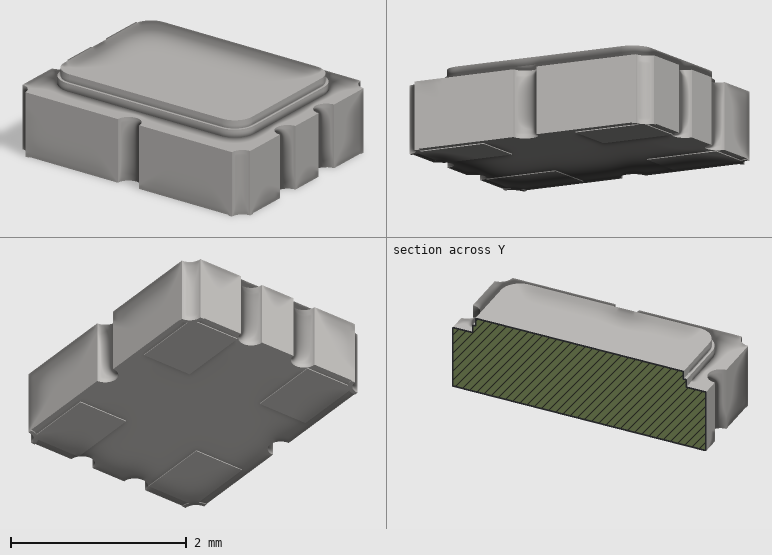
import cadquery as cq

LENGTH = 3.2
WIDTH = 2.5
HEIGHT = 1.0
PAD_THICKNESS = 0.01
BODY_TOP = 0.8

NOTCH_RADIUS = 0.15
SIDE_NOTCH_Y = 0.375

RING_LENGTH = 2.7
RING_WIDTH = 1.9
RING_CORNER_RADIUS = 0.275
RING_TOP = 0.9
COVER_INSET = 0.035

PAD_EDGE_INSET = 0.1
PAD_INNER_X = 0.6
PAD_INNER_Y = 0.5
PAD_COLLAR_RADIUS = 0.2

HALF_LENGTH = LENGTH / 2
HALF_WIDTH = WIDTH / 2
SIGNS = (-1, 1)


def mirrored_points(x, y):
    """The point (x, y) and its mirror images in all four quadrants."""
    return [(sx * x, sy * y) for sx in SIGNS for sy in SIGNS]


CORNERS = mirrored_points(HALF_LENGTH, HALF_WIDTH)


def make_body():
    """Rectangular block between the pads and the lid."""
    return (
        cq.Workplane("XY", origin=(0, 0, PAD_THICKNESS))
        .rect(LENGTH, WIDTH)
        .extrude(BODY_TOP - PAD_THICKNESS)
    )


def make_lid_layer(inset, bottom, top):
    """Rounded plate, set in evenly from the seal ring outline."""
    return (
        cq.Workplane("XY", origin=(0, 0, bottom))
        .rect(RING_LENGTH - 2 * inset, RING_WIDTH - 2 * inset)
        .extrude(top - bottom)
        .edges("|Z")
        .fillet(RING_CORNER_RADIUS - inset)
    )


def make_pads():
    """Four inset rectangular pads, each joined to a round collar at its corner."""
    outer_x = HALF_LENGTH - PAD_EDGE_INSET
    outer_y = HALF_WIDTH - PAD_EDGE_INSET
    center_x = (outer_x + PAD_INNER_X) / 2
    center_y = (outer_y + PAD_INNER_Y) / 2
    plates = (
        cq.Workplane("XY")
        .pushPoints(mirrored_points(center_x, center_y))
        .rect(outer_x - PAD_INNER_X, outer_y - PAD_INNER_Y)
        .extrude(PAD_THICKNESS)
    )
    collars = cq.Workplane("XY").pushPoints(CORNERS).circle(PAD_COLLAR_RADIUS).extrude(PAD_THICKNESS)
    footprint = cq.Workplane("XY").rect(LENGTH, WIDTH).extrude(PAD_THICKNESS)
    return plates.union(collars.intersect(footprint))


def make_notches():
    """Cylinders that cut the grooves at the corners and along all four sides."""
    short_side_centers = mirrored_points(HALF_LENGTH, SIDE_NOTCH_Y)
    long_side_centers = [(0, sy * HALF_WIDTH) for sy in SIGNS]
    return (
        cq.Workplane("XY")
        .pushPoints(CORNERS + short_side_centers + long_side_centers)
        .circle(NOTCH_RADIUS)
        .extrude(BODY_TOP)
    )


base = make_body().union(make_pads()).cut(make_notches())
seal_ring = make_lid_layer(0, BODY_TOP, RING_TOP)
cover = make_lid_layer(COVER_INSET, RING_TOP, HEIGHT)
result = base.union(seal_ring).union(cover)